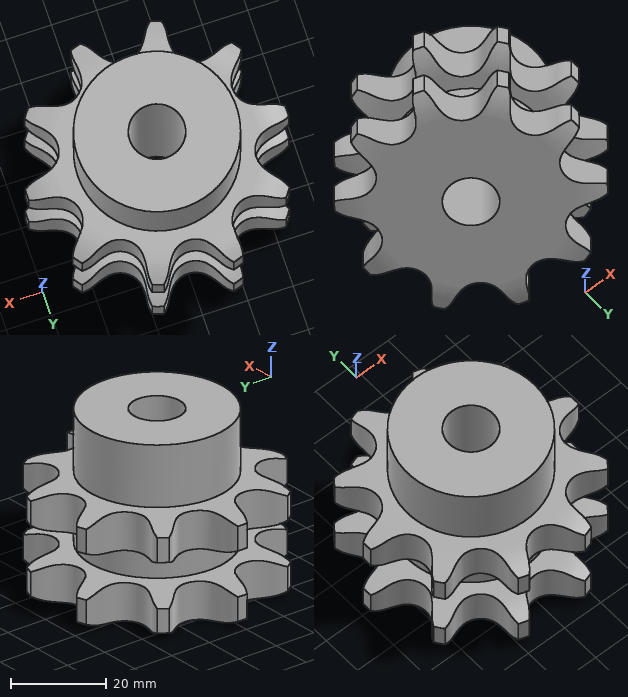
import cadquery as cq
import math

tooth_count = 10
chain_pitch = 15.85
outer_diameter = 57.5
row_width = 8.95
row_pitch = 16.5
overall_height = 40.0
hub_diameter = 35.0
bore_diameter = 12.0

side_radius = 16.0
side_drop = 1.6

seat_radius = 5.1
working_radius = 13.3
flank_length = 0.85
topping_radius = 8.6
seat_angle = 41.0
working_angle = 12.4
topping_sweep = 27.0

tooth_angle = 360 / tooth_count
pitch_radius = chain_pitch / (2 * math.sin(math.pi / tooth_count))
outer_radius = outer_diameter / 2


def polar(center, radius, degrees):
    """Point at the given radius and direction from center."""
    angle = math.radians(degrees)
    return (center[0] + radius * math.cos(angle), center[1] + radius * math.sin(angle))


def mirrored(point):
    """Reflection across the centerline of the gap, the Y axis."""
    return (-point[0], point[1])


def row_blank(base_z):
    """Toothless disc with both side faces rounded near the rim."""
    side_run = math.sqrt(side_radius**2 - (side_radius - side_drop) ** 2)
    flat_radius = outer_radius - side_run
    mid_angle = math.degrees(math.asin(side_run / side_radius)) / 2
    top_z = base_z + row_width
    bottom_mid = polar((flat_radius, base_z + side_radius), side_radius, mid_angle - 90)
    top_mid = polar((flat_radius, top_z - side_radius), side_radius, 90 - mid_angle)
    return (
        cq.Workplane("XZ")
        .moveTo(0, base_z)
        .lineTo(flat_radius, base_z)
        .threePointArc(bottom_mid, (outer_radius, base_z + side_drop))
        .lineTo(outer_radius, top_z - side_drop)
        .threePointArc(top_mid, (flat_radius, top_z))
        .lineTo(0, top_z)
        .close()
        .revolve(360, (0, 0), (0, 1))
    )


def gap_cutter():
    """Prism for one tooth gap, centered on the +Y direction and tall enough for both rows."""
    flank_normal = working_angle - seat_angle
    seat_center = (0, pitch_radius)
    working_center = polar(seat_center, working_radius - seat_radius, 180 - seat_angle)

    seat_bottom = (0, pitch_radius - seat_radius)
    seat_end = polar(seat_center, seat_radius, -seat_angle)
    working_mid = polar(working_center, working_radius, working_angle / 2 - seat_angle)
    flank_start = polar(working_center, working_radius, flank_normal)
    flank_end = polar(flank_start, flank_length, flank_normal + 90)

    topping_center = polar(flank_end, topping_radius, flank_normal)
    topping_start = flank_normal + 180
    topping_mid = polar(topping_center, topping_radius, topping_start - topping_sweep / 2)
    topping_end = polar(topping_center, topping_radius, topping_start - topping_sweep)

    apex = (0, outer_diameter)
    return (
        cq.Workplane("XY")
        .moveTo(*seat_end)
        .threePointArc(working_mid, flank_start)
        .lineTo(*flank_end)
        .threePointArc(topping_mid, topping_end)
        .lineTo(*apex)
        .lineTo(*mirrored(topping_end))
        .threePointArc(mirrored(topping_mid), mirrored(flank_end))
        .lineTo(*mirrored(flank_start))
        .threePointArc(mirrored(working_mid), mirrored(seat_end))
        .threePointArc(seat_bottom, seat_end)
        .close()
        .extrude(overall_height)
    )


sprocket = cq.Workplane("XY").circle(hub_diameter / 2).extrude(overall_height)
for base_z in (0, row_pitch):
    sprocket = sprocket.union(row_blank(base_z))

cutter = gap_cutter()
for index in range(tooth_count):
    gap_turn = (index + 0.5) * tooth_angle - 90
    sprocket = sprocket.cut(cutter.rotate((0, 0, 0), (0, 0, 1), gap_turn))

bore = cq.Workplane("XY").circle(bore_diameter / 2).extrude(overall_height)
result = sprocket.cut(bore)